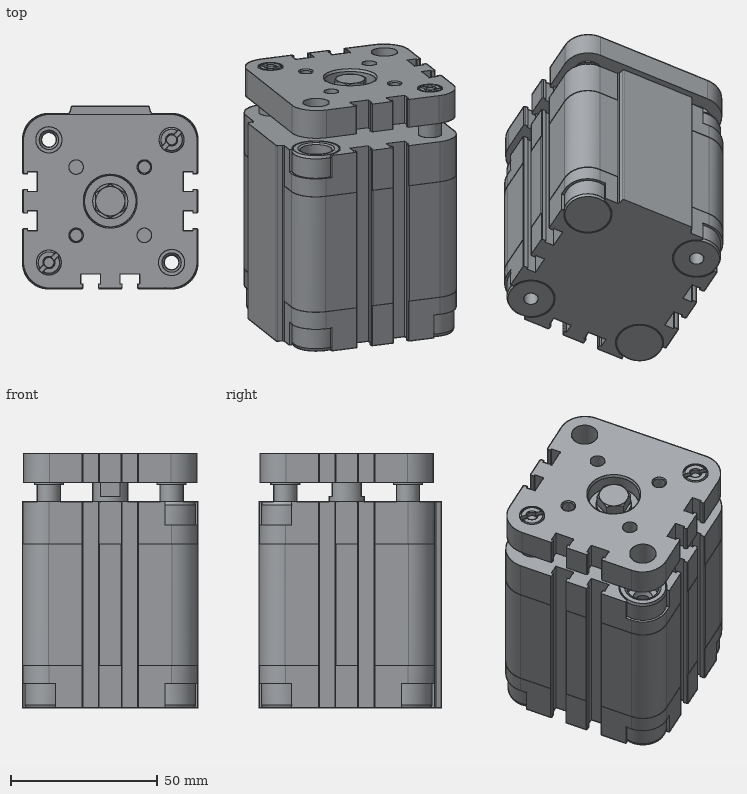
import cadquery as cq
import math

body_height = 70.5
plate_gap = 6.5
plate_thickness = 10.0
plate_bottom = body_height + plate_gap
plate_top = plate_bottom + plate_thickness

corner_radius = 9.0
tube_half_width = 30.0
cap_inset = 0.07
cap_half_width = tube_half_width - cap_inset
plate_half_width = 29.7
cap_height = 14.4

slot_offset = 6.7
slot_mouth_width = 5.3
slot_mouth_chamfer = 0.35
slot_inner_width = 6.7
slot_floor = 25.0
slot_lip_inside = 28.3

pad_top_half_width = 13.3
pad_base_half_width = 13.75
pad_face = 32.45
pad_foot_half_width = 14.2
pad_foot_height = 0.5
pad_overlap = 0.4
pad_fillet = 0.4

sleeve_diameter = 16.4
sleeve_rim_diameter = 15.7
sleeve_chamfer_height = 1.05
pocket_edge = 18.8
top_pocket_height = 8.0
bottom_pocket_height = 8.3

fixing_bore_diameter = 11.0
fixing_bore_depth = 5.2
fixing_mouth_diameter = 12.5
fixing_mouth_depth = 0.4
fixing_hole_diameter = 5.0
fixing_countersink_diameter = 6.6
fixing_countersink_depth = 1.7

rod_diameter = 12.0
rod_flat_distance = 10.0
rod_collar_height = 1.8
guide_diameter = 8.0
rod_insertion = cap_height
washer_diameter = 10.0
washer_thickness = 0.7

recess_diameter = 17.6
recess_rim_diameter = 18.45
recess_rim_depth = 0.9
recess_depth = 6.1
rod_end_depth = 4.5
hex_across_flats = 10.0
hex_top_depth = 0.5
hex_chamfer_height = 0.4
hex_sides = 6
hex_half_angle = 180 / hex_sides

access_hole_diameter = 9.0
small_hole_offset = 11.7
small_hole_diameter = 5.0
tapped_hole_diameter = 4.2
tapped_rim_depth = 0.4

screw_diameter = 8.5
screw_rim_diameter = 7.3
screw_chamfer_height = 0.6
screw_slot_width = 1.6
screw_slot_depth = 1.6
screw_slot_angle = 45
socket_diameter = 3.5
socket_rim_diameter = 4.2
socket_rim_depth = 0.35
socket_depth = 1.9

corner_offset = 21.0
guide_corners = [(-corner_offset, -corner_offset), (corner_offset, corner_offset)]
fixing_corners = [(-corner_offset, corner_offset), (corner_offset, -corner_offset)]


def rounded_block(half_width, bottom, height):
    """Square block with round vertical edges."""
    return (
        cq.Workplane("XY")
        .workplane(offset=bottom)
        .rect(2 * half_width, 2 * half_width)
        .extrude(height)
        .edges("|Z")
        .fillet(corner_radius)
    )


def cylinder(center, diameter, bottom, top):
    return (
        cq.Workplane("XY")
        .workplane(offset=bottom)
        .center(*center)
        .circle(diameter / 2)
        .extrude(top - bottom)
    )


def cone(center, bottom_diameter, top_diameter, bottom, top):
    """Truncated cone on a vertical axis."""
    axis_foot = cq.Vector(*center, bottom)
    return cq.Workplane(
        cq.Solid.makeCone(
            bottom_diameter / 2,
            top_diameter / 2,
            top - bottom,
            pnt=axis_foot,
        )
    )


def edge_groove(center, outer_diameter, rim_diameter, depth, top):
    """V-shaped ring left by a chamfered cylinder standing flush in a bore."""
    bore = cylinder(center, outer_diameter, top - depth, top)
    return bore.cut(cone(center, outer_diameter, rim_diameter, top - depth, top))


def slot_cutters(half_width, bottom, height):
    """T-slots in the -X, +X and -Y sides of a block, with chamfered mouths."""
    inner_half = slot_inner_width / 2
    mouth_half = slot_mouth_width / 2
    chamfer_start = half_width - slot_mouth_chamfer
    right_side = [
        (inner_half, -slot_floor),
        (inner_half, -slot_lip_inside),
        (mouth_half, -slot_lip_inside),
        (mouth_half, -chamfer_start),
        (mouth_half + slot_mouth_chamfer, -half_width),
    ]
    left_side = [(-x, y) for x, y in reversed(right_side)]
    cutters = cq.Workplane("XY")
    for offset in (-slot_offset, slot_offset):
        slot = (
            cq.Workplane("XY")
            .workplane(offset=bottom)
            .polyline(right_side + left_side)
            .close()
            .extrude(height)
            .translate((offset, 0, 0))
        )
        for angle in (-90, 0, 90):
            cutters = cutters.add(slot.rotate((0, 0, 0), (0, 0, 1), angle))
    return cutters.combine()


def side_pad():
    """Pad with slightly tapered flanks, a flared foot and round outer edges."""
    foot_top = tube_half_width + pad_foot_height
    pad_root = tube_half_width - pad_overlap
    right_side = [
        (pad_foot_half_width, pad_root),
        (pad_foot_half_width, tube_half_width),
        (pad_base_half_width, foot_top),
        (pad_top_half_width, pad_face),
    ]
    left_side = [(-x, y) for x, y in reversed(right_side)]
    return (
        cq.Workplane("XY")
        .polyline(right_side + left_side)
        .close()
        .extrude(body_height)
        .edges("|Z and >Y")
        .fillet(pad_fillet)
    )


def corner_pocket(center, bottom, height):
    """Cutter that bares the outer side of a corner sleeve."""
    pocket_size = tube_half_width - pocket_edge
    pocket_middle = pocket_edge + pocket_size / 2
    pocket = cq.Workplane("XY").box(
        pocket_size, pocket_size, height, centered=(True, True, False)
    ).translate((
        math.copysign(pocket_middle, center[0]),
        math.copysign(pocket_middle, center[1]),
        bottom,
    ))
    return pocket.cut(cylinder(center, sleeve_diameter, bottom, bottom + height))


def sleeve_groove(center):
    """Chamfer groove around a sleeve at the top of the housing."""
    return edge_groove(
        center, sleeve_diameter, sleeve_rim_diameter, sleeve_chamfer_height, body_height
    )


def fixing_hole(center):
    """Through hole with a countersunk seat at the foot of a wide bore."""
    seat = body_height - fixing_bore_depth
    hole = cylinder(center, fixing_hole_diameter, 0, body_height)
    countersink = cone(
        center,
        fixing_hole_diameter,
        fixing_countersink_diameter,
        seat - fixing_countersink_depth,
        seat,
    )
    bore = cylinder(center, fixing_bore_diameter, seat, body_height)
    mouth = cone(
        center,
        fixing_bore_diameter,
        fixing_mouth_diameter,
        body_height - fixing_mouth_depth,
        body_height,
    )
    return hole.union(countersink).union(bore).union(mouth)


def make_housing():
    tube_top = body_height - cap_height
    housing = (
        rounded_block(tube_half_width, cap_height, tube_top - cap_height)
        .union(rounded_block(cap_half_width, 0, cap_height))
        .union(rounded_block(cap_half_width, tube_top, cap_height))
        .union(side_pad())
        .cut(slot_cutters(tube_half_width, 0, body_height))
    )
    for center in fixing_corners:
        housing = housing.cut(
            corner_pocket(center, body_height - top_pocket_height, top_pocket_height)
        )
        housing = housing.cut(sleeve_groove(center)).cut(fixing_hole(center))
    for center in guide_corners + fixing_corners:
        bottom_groove = sleeve_groove(center).mirror("XY", (0, 0, body_height / 2))
        housing = housing.cut(corner_pocket(center, 0, bottom_pocket_height)).cut(bottom_groove)
    rod_bottom = body_height - rod_insertion
    for center in guide_corners:
        housing = housing.cut(cylinder(center, guide_diameter, rod_bottom, body_height))
    return housing.cut(cylinder((0, 0), rod_diameter, rod_bottom, body_height))


def piston_rod():
    """Rod with two flats under the plate and a chamfered hexagon at its end."""
    flats_bottom = body_height + rod_collar_height
    rod_end = plate_top - rod_end_depth
    hex_top = plate_top - hex_top_depth
    flat_stock = cq.Workplane("XY").box(
        rod_diameter, rod_flat_distance, plate_gap - rod_collar_height,
        centered=(True, True, False),
    ).translate((0, 0, flats_bottom))
    flatted = cylinder((0, 0), rod_diameter, flats_bottom, plate_bottom).intersect(flat_stock)
    hex_corner_diameter = hex_across_flats / math.cos(math.radians(hex_half_angle))
    hexagon = (
        cq.Workplane("XY")
        .workplane(offset=rod_end)
        .polygon(hex_sides, hex_corner_diameter)
        .extrude(hex_top - rod_end)
        .rotate((0, 0, 0), (0, 0, 1), hex_half_angle)
    )
    hexagon = hexagon.cut(
        edge_groove((0, 0), hex_corner_diameter, hex_across_flats, hex_chamfer_height, hex_top)
    )
    return (
        cylinder((0, 0), rod_diameter, body_height - rod_insertion, flats_bottom)
        .union(flatted)
        .union(cylinder((0, 0), rod_diameter, plate_bottom, rod_end))
        .union(hexagon)
    )


def guide_rod(center):
    """Guide rod with the washer that seats it against the plate."""
    rod = cylinder(center, guide_diameter, body_height - rod_insertion, plate_bottom)
    washer = cylinder(center, washer_diameter, plate_bottom - washer_thickness, plate_bottom)
    return rod.union(washer)


def rod_recess():
    recess = cylinder((0, 0), recess_diameter, plate_top - recess_depth, plate_top)
    rim = cone(
        (0, 0), recess_diameter, recess_rim_diameter, plate_top - recess_rim_depth, plate_top
    )
    return recess.union(rim)


def tapped_hole(center):
    hole = cylinder(center, tapped_hole_diameter, plate_bottom, plate_top)
    rim = cone(
        center, tapped_hole_diameter, small_hole_diameter, plate_top - tapped_rim_depth, plate_top
    )
    return hole.union(rim)


def screw_drive(center):
    """Edge groove, driver slot and central socket of a guide screw."""
    slot_bar = (
        cq.Workplane("XY")
        .box(screw_diameter, screw_slot_width, screw_slot_depth, centered=(True, True, False))
        .rotate((0, 0, 0), (0, 0, 1), screw_slot_angle)
        .translate((*center, plate_top - screw_slot_depth))
    )
    head = cylinder(center, screw_diameter, plate_top - screw_slot_depth, plate_top)
    socket = cylinder(center, socket_diameter, plate_top - socket_depth, plate_top)
    socket_rim = cone(
        center, socket_diameter, socket_rim_diameter, plate_top - socket_rim_depth, plate_top
    )
    groove = edge_groove(
        center, screw_diameter, screw_rim_diameter, screw_chamfer_height, plate_top
    )
    return slot_bar.intersect(head).union(socket).union(socket_rim).union(groove)


def make_plate():
    plate = rounded_block(plate_half_width, plate_bottom, plate_thickness)
    plate = plate.cut(slot_cutters(plate_half_width, plate_bottom, plate_thickness))
    plate = plate.cut(rod_recess())
    for center in fixing_corners:
        plate = plate.cut(cylinder(center, access_hole_diameter, plate_bottom, plate_top))
    for side in (-1, 1):
        x = side * small_hole_offset
        plate = plate.cut(cylinder((x, -x), small_hole_diameter, plate_bottom, plate_top))
        plate = plate.cut(tapped_hole((x, x)))
    for center in guide_corners:
        plate = plate.cut(screw_drive(center)).union(guide_rod(center))
    return plate.union(piston_rod())


housing = make_housing()
plate = make_plate()

result = cq.Compound.makeCompound([housing.val(), plate.val()])